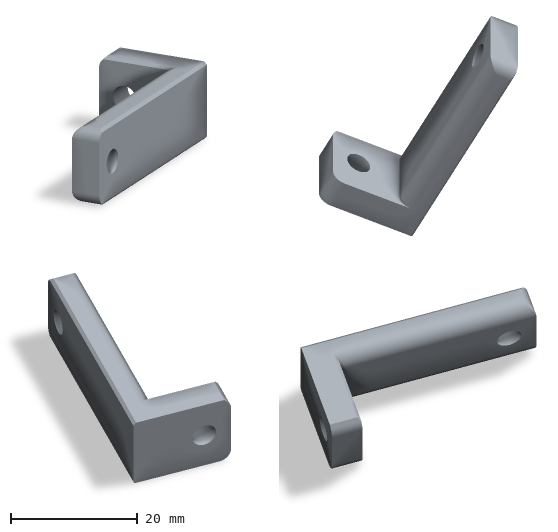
import cadquery as cq
import math

width = 16.5
length = 37.5
height = 12.8

arm_thickness = 4.85
foot_thickness = 5.02
corner_radius = 2.0
top_chamfer = 0.5
end_chamfer = 0.55
lower_edge_radius = 0.5

hole_diameter = 4.0
hole_end_distance = 4.5

arm_inner_x = width - arm_thickness
foot_front_y = length - foot_thickness

arc_rise = corner_radius - end_chamfer
chamfer_angle = math.asin(arc_rise / corner_radius)
chamfer_start = corner_radius * (1 - math.cos(chamfer_angle))


def rounded_end_profile(plane, start, end, chamfered_top):
    """Outline with its start edge rounded; optionally bevel the upper round."""
    mid_arc = corner_radius * (1 - math.sqrt(0.5))
    outline = (
        cq.Workplane(plane)
        .moveTo(end, 0)
        .lineTo(start + corner_radius, 0)
        .threePointArc((start + mid_arc, mid_arc), (start, corner_radius))
        .lineTo(start, height - corner_radius)
    )
    if chamfered_top:
        arc_middle = (
            start + corner_radius * (1 - math.cos(chamfer_angle / 2)),
            height - corner_radius * (1 - math.sin(chamfer_angle / 2)),
        )
        outline = outline.threePointArc(
            arc_middle, (start + chamfer_start, height - end_chamfer)
        ).lineTo(start + chamfer_start + end_chamfer, height)
    else:
        outline = outline.threePointArc(
            (start + mid_arc, height - mid_arc), (start + corner_radius, height)
        )
    return outline.lineTo(end, height).close()


def make_foot():
    foot = rounded_end_profile("XZ", 0, width, True).extrude(-foot_thickness)
    foot = foot.translate((0, foot_front_y, 0))
    front_bevel = (
        cq.Workplane("YZ")
        .moveTo(foot_front_y, height)
        .lineTo(foot_front_y + top_chamfer, height)
        .lineTo(foot_front_y, height - top_chamfer)
        .close()
        .extrude(width)
    )
    return foot.cut(front_bevel)


def make_arm():
    cross_section = rounded_end_profile("XZ", arm_inner_x, width, False).extrude(-length)
    side_shape = rounded_end_profile("YZ", 0, length, True).extrude(width)
    return cross_section.intersect(side_shape)


def make_upper_edge_bevel():
    """Cutter for the upper lengthwise edge of the outer arm face."""
    return (
        cq.Workplane("XZ")
        .moveTo(width, height)
        .lineTo(width - top_chamfer, height)
        .lineTo(width, height - top_chamfer)
        .close()
        .extrude(-length)
    )


def make_lower_edge_round():
    """Cutter that rounds the lower lengthwise edge of the outer arm face."""
    mid_arc = lower_edge_radius * (1 - math.sqrt(0.5))
    return (
        cq.Workplane("XZ")
        .moveTo(width, 0)
        .lineTo(width - lower_edge_radius, 0)
        .threePointArc((width - mid_arc, mid_arc), (width, lower_edge_radius))
        .close()
        .extrude(-length)
    )


foot_hole = (
    cq.Workplane("XZ", origin=(0, foot_front_y, 0))
    .center(hole_end_distance, height / 2)
    .circle(hole_diameter / 2)
    .extrude(-foot_thickness)
)
arm_hole = (
    cq.Workplane("YZ", origin=(arm_inner_x, 0, 0))
    .center(hole_end_distance, height / 2)
    .circle(hole_diameter / 2)
    .extrude(arm_thickness)
)

result = (
    make_foot()
    .union(make_arm())
    .cut(make_upper_edge_bevel())
    .cut(make_lower_edge_round())
    .cut(foot_hole)
    .cut(arm_hole)
)